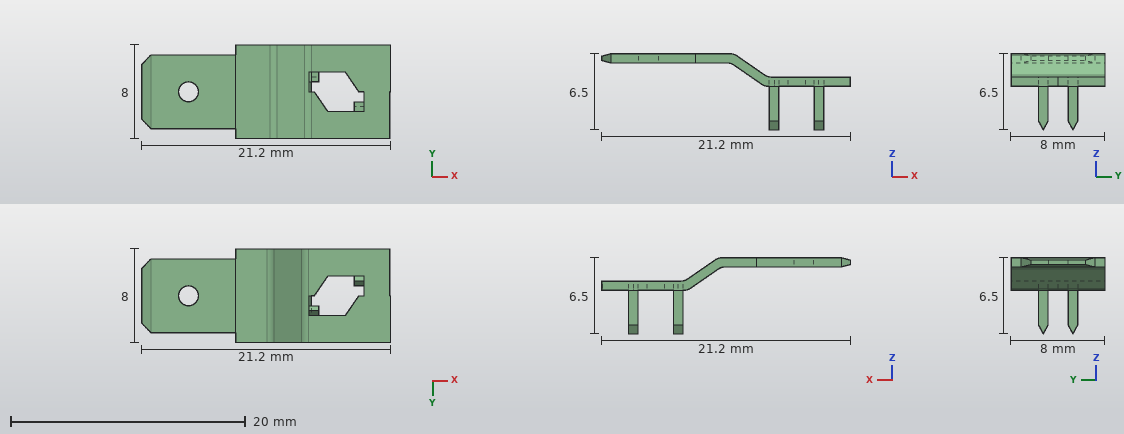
import cadquery as cq
import math

length = 21.2
thickness = 0.8
rise = 2.0
cut_margin = 0.21

blade_length = 8.0
blade_width = 6.3
tip_length = 0.78
tip_width = 4.66
tip_thickness = 0.38
blade_hole_x = 3.99
blade_hole_diameter = 1.67

plate_width = 8.0
upper_corner_x = 11.25
lower_corner_x = 14.15
bend_radius = 1.0
end_step = 0.06

window_start_x = 14.27
window_length = 4.66
window_width = 3.35
window_long_edge = 3.07
window_ledge = 0.45

pin_width = 0.83
pin_length = 3.7
pin_point_length = 0.76


def make_blade():
    """Flat blade with a tip tapered in width and thickness."""
    outline = (
        cq.Workplane("XY", origin=(0, 0, rise))
        .polyline([
            (0, -tip_width / 2),
            (tip_length, -blade_width / 2),
            (blade_length, -blade_width / 2),
            (blade_length, blade_width / 2),
            (tip_length, blade_width / 2),
            (0, tip_width / 2),
        ])
        .close()
        .extrude(thickness)
    )
    middle_z = rise + thickness / 2
    side_profile = (
        cq.Workplane("XZ")
        .polyline([
            (0, middle_z - tip_thickness / 2),
            (tip_length, rise),
            (blade_length, rise),
            (blade_length, rise + thickness),
            (tip_length, rise + thickness),
            (0, middle_z + tip_thickness / 2),
        ])
        .close()
        .extrude(blade_width / 2, both=True)
    )
    hole = (
        cq.Workplane("XY", origin=(blade_hole_x, 0, rise - cut_margin))
        .circle(blade_hole_diameter / 2)
        .extrude(thickness + 2 * cut_margin)
    )
    return outline.intersect(side_profile).cut(hole)


def make_window_cutter():
    """Prism for the window; it ends level with the top of the lower flat."""
    end_x = window_start_x + window_length
    half_width = window_width / 2
    return (
        cq.Workplane("XY", origin=(0, 0, -cut_margin))
        .polyline([
            (window_start_x, 0),
            (window_start_x, half_width),
            (window_start_x + window_long_edge, half_width),
            (end_x - window_ledge, 0),
            (end_x, 0),
            (end_x, -half_width),
            (end_x - window_long_edge, -half_width),
            (window_start_x + window_ledge, 0),
        ])
        .close()
        .extrude(thickness + cut_margin)
    )


def make_plate():
    """Wide plate stepped down by a sloping web between two rounded bends."""
    bend_angle = math.atan2(rise, lower_corner_x - upper_corner_x)
    corner_shift = thickness * math.tan(bend_angle / 2)
    plate = (
        cq.Workplane("XZ")
        .polyline([
            (blade_length, rise),
            (upper_corner_x - corner_shift, rise),
            (lower_corner_x - corner_shift, 0),
            (length, 0),
            (length, thickness),
            (lower_corner_x, thickness),
            (upper_corner_x, rise + thickness),
            (blade_length, rise + thickness),
        ])
        .close()
        .extrude(plate_width / 2, both=True)
    )
    bend_edges = cq.selectors.BoxSelector(
        (upper_corner_x - 2 * corner_shift, -plate_width, -cut_margin),
        (lower_corner_x + corner_shift, plate_width, rise + thickness + cut_margin),
    )
    plate = plate.edges("|Y").edges(bend_edges).fillet(bend_radius)
    short_half = cq.Workplane("XY").box(
        end_step, plate_width / 2, thickness, centered=False
    ).translate((length - end_step, -plate_width / 2, 0))
    return plate.cut(short_half).cut(make_window_cutter())


def make_pin(center_x, center_y):
    """Square pin, level with the top of the lower flat, with a wedge point."""
    half_width = pin_width / 2
    shoulder_z = pin_point_length - pin_length
    return (
        cq.Workplane("YZ", origin=(center_x, center_y, 0))
        .polyline([
            (-half_width, thickness),
            (-half_width, shoulder_z),
            (0, -pin_length),
            (half_width, shoulder_z),
            (half_width, thickness),
        ])
        .close()
        .extrude(half_width, both=True)
    )


blade = make_blade()
plate = make_plate()

window_center_x = window_start_x + window_length / 2
pin_offset_x = (window_length - pin_width) / 2
pin_offset_y = (window_width - pin_width) / 2
pins = []
for side in (-1, 1):
    pins.append(make_pin(window_center_x + side * pin_offset_x, -side * pin_offset_y))

result = cq.Compound.makeCompound([blade.val(), plate.val(), *[pin.val() for pin in pins]])